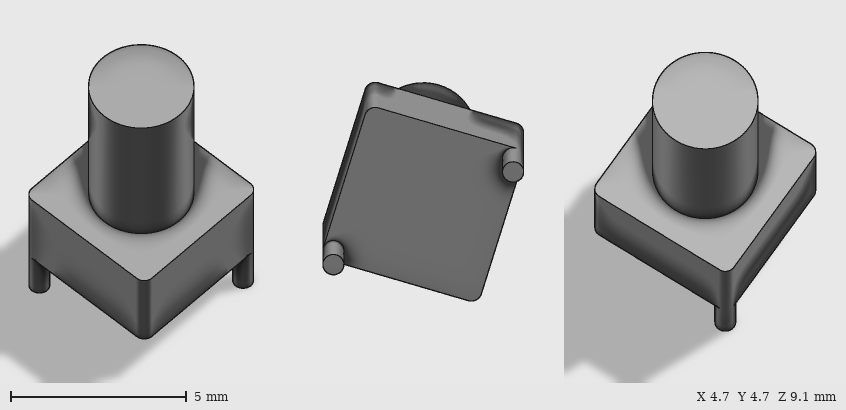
import cadquery as cq

body_width = 4.7
body_height = 2.7
corner_radius = 0.3
stem_diameter = 3.0
pin_length = 1.5
total_height = 9.1

stem_height = total_height - body_height - pin_length
pin_radius = corner_radius
pin_offset = body_width / 2 - corner_radius

body = (
    cq.Workplane("XY")
    .rect(body_width, body_width)
    .extrude(body_height)
    .edges("|Z")
    .fillet(corner_radius)
)

stem = (
    cq.Workplane("XY")
    .workplane(offset=body_height)
    .circle(stem_diameter / 2)
    .extrude(stem_height)
)

pins = (
    cq.Workplane("XY")
    .pushPoints([(-pin_offset, -pin_offset), (pin_offset, pin_offset)])
    .circle(pin_radius)
    .extrude(-pin_length)
)

result = body.union(stem).union(pins)